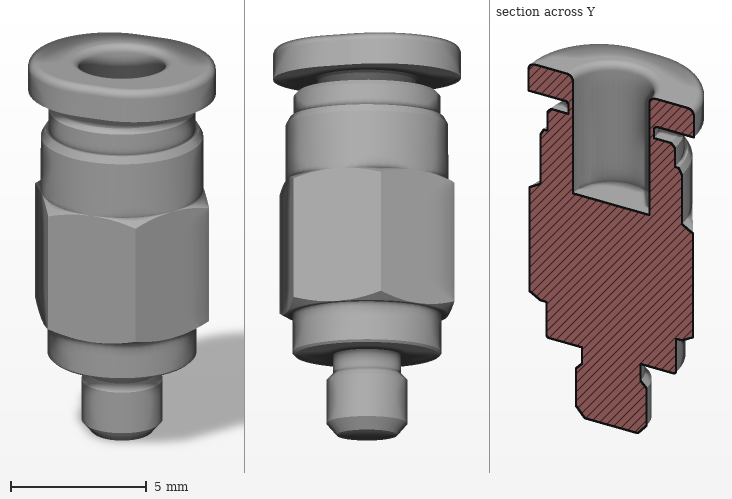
import cadquery as cq
import math

tip_chamfer_top = 0.44
thread_top = 2.04
thread_relief_top = 2.3
collar_bottom = 3.0
hex_bottom = 4.51
hex_top = 9.5
body_top = 11.87
ring_top = 12.85
cap_bottom = 13.34
total_height = 14.55

tip_radius = 1.12
thread_radius = 1.5
relief_radius = 1.25
collar_radius = 2.75
body_radius = 3.0
ring_radius = 2.7
sleeve_radius = 1.82
bore_radius = 1.6

collar_chamfer = 0.09
body_chamfer_width = 0.15
body_chamfer_height = 0.26
ring_chamfer = 0.17
sleeve_flare = 0.09
edge_rounding = 0.29
hex_chamfer_angle = math.radians(30)

across_flats = 2 * body_radius
across_corners = across_flats / math.cos(math.pi / 6)
cap_length = 7.0
cap_width = 2 * body_radius


def revolve_profile(points):
    """Revolve (radius, height) points around the Z axis."""
    return cq.Workplane("XZ").polyline(points).close().revolve(360, (0, 0), (0, 1))


def make_turned_body():
    """Threaded end, collar, body, ring and sleeve as one turned piece."""
    return revolve_profile([
        (0, 0),
        (tip_radius, 0),
        (thread_radius, tip_chamfer_top),
        (thread_radius, thread_top),
        (relief_radius, thread_relief_top),
        (relief_radius, collar_bottom),
        (collar_radius - collar_chamfer, collar_bottom),
        (collar_radius, collar_bottom + collar_chamfer),
        (collar_radius, hex_bottom),
        (body_radius, hex_bottom),
        (body_radius, body_top - body_chamfer_height),
        (body_radius - body_chamfer_width, body_top),
        (ring_radius, body_top),
        (ring_radius, ring_top - ring_chamfer),
        (ring_radius - ring_chamfer, ring_top),
        (sleeve_radius, ring_top),
        (sleeve_radius, cap_bottom - sleeve_flare),
        (sleeve_radius + sleeve_flare, cap_bottom),
        (0, cap_bottom),
    ])


def make_hexagon():
    """Hexagon with its corners on X, cut by a shallow cone at each end."""
    height = hex_top - hex_bottom
    prism = cq.Workplane("XY").workplane(offset=hex_bottom).polygon(6, across_corners).extrude(height)
    outer_radius = across_corners / 2
    corner_drop = (outer_radius - body_radius) * math.tan(hex_chamfer_angle)
    envelope = revolve_profile([
        (0, hex_bottom),
        (body_radius, hex_bottom),
        (outer_radius, hex_bottom + corner_drop),
        (outer_radius, hex_top - corner_drop),
        (body_radius, hex_top),
        (0, hex_top),
    ])
    return prism.intersect(envelope)


def make_cap():
    """Oblong release cap with a rounded upper rim."""
    cap = cq.Workplane("XY").workplane(offset=cap_bottom).slot2D(cap_length, cap_width)
    return cap.extrude(total_height - cap_bottom).faces(">Z").edges().fillet(edge_rounding)


def cut_tube_bore(part):
    """Blind tube bore down to the hexagon, with a rounded mouth."""
    bore_depth = total_height - hex_top
    bore = cq.Workplane("XY").workplane(offset=hex_top).circle(bore_radius).extrude(bore_depth)
    bored = part.cut(bore)
    mouth = bored.faces(">Z").edges(cq.selectors.RadiusNthSelector(0))
    return mouth.fillet(edge_rounding)



result = cut_tube_bore(make_turned_body().union(make_hexagon()).union(make_cap()))